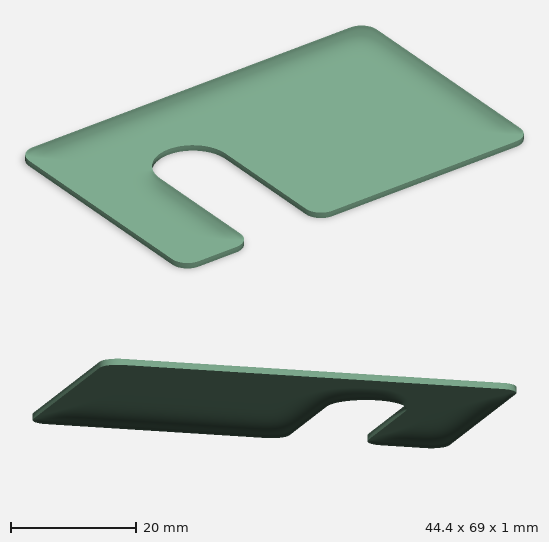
import cadquery as cq

width = 44.4
length = 69.0
thickness = 1.0
corner_radius = 3.0

slot_width = 13.0
slot_center_from_bottom = 20.0
slot_end_from_left = 13.4

right = width / 2
bottom = -length / 2
slot_radius = slot_width / 2
slot_y = bottom + slot_center_from_bottom
slot_end_x = -width / 2 + slot_end_from_left
slot_arc_x = slot_end_x + slot_radius


def make_plate():
    return cq.Workplane("XY").rect(width, length).extrude(thickness)


def make_slot():
    return (
        cq.Workplane("XY")
        .moveTo(right, slot_y + slot_radius)
        .lineTo(slot_arc_x, slot_y + slot_radius)
        .threePointArc((slot_end_x, slot_y), (slot_arc_x, slot_y - slot_radius))
        .lineTo(right, slot_y - slot_radius)
        .close()
        .extrude(thickness)
    )


def round_corners(body):
    """Round the four plate corners and the two corners at the slot mouth."""
    corner_edges = body.faces("<X or >X").edges("|Z")
    return corner_edges.fillet(corner_radius)


result = round_corners(make_plate().cut(make_slot()))